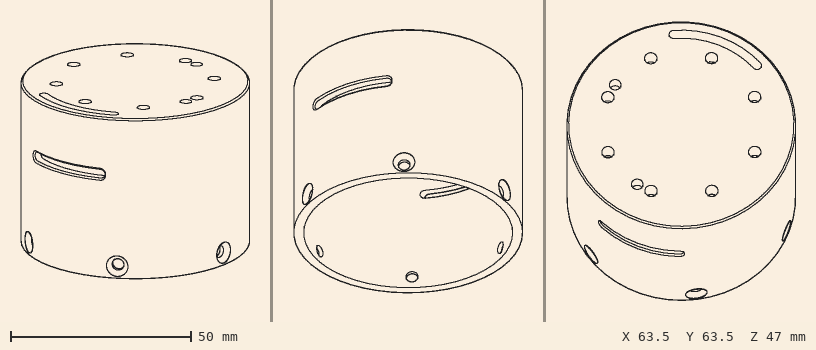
import cadquery as cq
import math

outer_diameter = 63.5
bore_diameter = 58.0
height = 47.0
plate_thickness = 6.0
rim_chamfer = 0.5
outer_radius = outer_diameter / 2
bore_radius = bore_diameter / 2

bolt_circle_radius = 22.05
bolt_count = 8
bolt_diameter = 3.4
pin_diameter = 3.2
pin_depth = 4.0
pin_tip_angle = 118.0
pin_offset_angle = 11.3

arc_slot_width = 2.5
arc_slot_half_angle = 26.8
arc_slot_direction = 270.0

wall_slot_length = 25.0
wall_slot_width = 2.55
wall_slot_z = 30.2
wall_slot_chamfer = 0.5

screw_count = 6
screw_diameter = 3.3
countersink_diameter = 6.05
countersink_angle = 90.0
countersink_inset = 0.2
screw_z = 3.55


def make_body():
    body = cq.Workplane("XY").circle(outer_radius).extrude(height)
    body = body.faces(">Z").edges().chamfer(rim_chamfer)
    bore = cq.Workplane("XY").circle(bore_radius).extrude(height - plate_thickness)
    return body.cut(bore)


def polar(radius, angle):
    turn = math.radians(angle)
    return (radius * math.cos(turn), radius * math.sin(turn))


def cut_bolt_holes(body):
    holes = (
        cq.Workplane("XY", origin=(0, 0, height - plate_thickness))
        .polarArray(bolt_circle_radius, 0, 360, bolt_count)
        .circle(bolt_diameter / 2)
        .extrude(plate_thickness)
    )
    return body.cut(holes)


def cut_pin_holes(body):
    """Two blind holes with conical bottoms, beside the +X and +Y bolt holes."""
    radius = pin_diameter / 2
    tip_depth = radius / math.tan(math.radians(pin_tip_angle / 2))
    profile = [(0, 0), (radius, 0), (radius, -pin_depth), (0, -pin_depth - tip_depth)]
    pin_hole = cq.Workplane("XZ").polyline(profile).close().revolve(360, (0, 0, 0), (0, 1, 0))
    for angle in (-pin_offset_angle, 90 - pin_offset_angle):
        x, y = polar(bolt_circle_radius, angle)
        body = body.cut(pin_hole.translate((x, y, height)))
    return body


def cut_arc_slot(body):
    inner_radius = bore_radius - arc_slot_width
    middle_radius = bore_radius - arc_slot_width / 2
    start = arc_slot_direction - arc_slot_half_angle
    end = arc_slot_direction + arc_slot_half_angle
    end_cap_angle = math.degrees(arc_slot_width / 2 / middle_radius)
    slot = (
        cq.Workplane("XY", origin=(0, 0, height - plate_thickness))
        .moveTo(*polar(bore_radius, start))
        .threePointArc(polar(bore_radius, arc_slot_direction), polar(bore_radius, end))
        .threePointArc(polar(middle_radius, end + end_cap_angle), polar(inner_radius, end))
        .threePointArc(polar(inner_radius, arc_slot_direction), polar(inner_radius, start))
        .threePointArc(polar(middle_radius, start - end_cap_angle), polar(bore_radius, start))
        .close()
        .extrude(plate_thickness)
    )
    return body.cut(slot)


def lies_on_outside(edge):
    tolerance = 0.005
    ends = (edge.startPoint(), edge.endPoint())
    return all(abs(math.hypot(end.x, end.y) - outer_radius) < tolerance for end in ends)


def cut_wall_slots(body):
    slot = (
        cq.Workplane("XZ", origin=(0, 0, wall_slot_z))
        .slot2D(wall_slot_length, wall_slot_width)
        .extrude(outer_diameter, both=True)
    )
    body = body.cut(slot)
    near_slots = cq.selectors.BoxSelector(
        (-wall_slot_length, -outer_diameter, wall_slot_z - wall_slot_width),
        (wall_slot_length, outer_diameter, wall_slot_z + wall_slot_width),
    )
    rims = [edge for edge in body.edges(near_slots).vals() if lies_on_outside(edge)]
    return body.newObject(rims).chamfer(wall_slot_chamfer)


def cut_screw_holes(body):
    sink_radius = countersink_diameter / 2
    hole_radius = screw_diameter / 2
    slope = math.tan(math.radians(countersink_angle / 2))
    sink_top = outer_radius - countersink_inset
    sink_depth = (sink_radius - hole_radius) / slope
    profile = [
        (0, 0),
        (hole_radius, 0),
        (hole_radius, sink_top - sink_depth),
        (sink_radius, sink_top),
        (sink_radius, outer_radius),
        (0, outer_radius),
    ]
    cutter = cq.Workplane("XY").polyline(profile).close().revolve(360, (0, 0, 0), (0, 1, 0))
    cutter = cutter.translate((0, 0, screw_z))
    for index in range(screw_count):
        turn = 90 + index * 360 / screw_count
        body = body.cut(cutter.rotate((0, 0, 0), (0, 0, 1), turn))
    return body


result = make_body()
result = cut_bolt_holes(result)
result = cut_pin_holes(result)
result = cut_arc_slot(result)
result = cut_wall_slots(result)
result = cut_screw_holes(result)